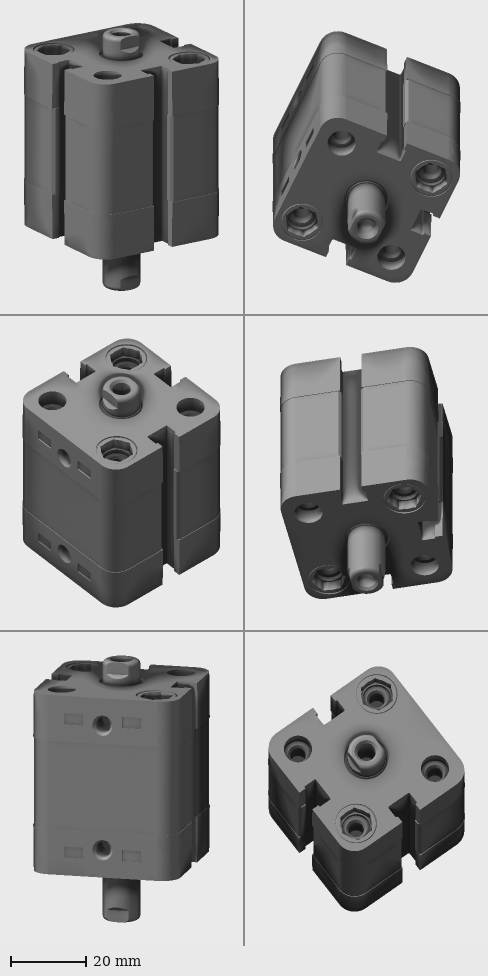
import cadquery as cq
import math


barrel_side = 40.0
cap_joint_side = 40.3
corner_radius = 5.0
cap_height = 12.5
barrel_height = 24.0
housing_height = barrel_height + 2 * cap_height
cap_draft = math.degrees(math.atan((cap_joint_side - barrel_side) / 2 / cap_height))

slot_depth = 5.7
slot_corner_radius = 0.35
slot_inner_width = 7.0
slot_lip_depth = 2.0
cap_slot_opening = 5.8
barrel_slot_opening = 5.3
barrel_slot_mouth = 6.7

hole_pitch = 26.0
thread_core = 4.13
thread_countersink = 5.3
thread_depth = 7.0
bore_diameter = 7.5
bore_depth = 4.5
head_recess = 11.1
head_diameter = 10.9
head_face = 10.48
head_sink = 0.2
socket_across_flats = 8.0
socket_relief = 8.3
socket_depth = 3.2

port_height = 7.5
port_countersink = 5.5
port_depth = 8.0
label_width = 5.25
label_height = 3.1
label_offset = 8.0
label_drop = 6.3
label_depth = 0.3

wiper_mouth = 12.0
wiper_groove_outer = 11.4
wiper_groove_inner = 10.9
wiper_lip = 10.48
wiper_bevel_depth = 0.3
wiper_groove_depth = 0.6

rod_diameter = 10.0
rod_top_reach = 6.0
rod_bottom_reach = 16.0
rod_length = rod_top_reach + housing_height + rod_bottom_reach
rod_edge_radius = 1.2
rod_across_flats = 8.0
rod_flat_length = 3.3
rod_thread_core = 4.92
rod_thread_countersink = 6.3
rod_thread_depth = 12.0


def cone_depth(outer_diameter, inner_diameter):
    """Depth of a 90 degree countersink between two diameters."""
    return (outer_diameter - inner_diameter) / 2


def revolve_profile(points):
    """Solid of revolution about Z from (radius, z) points."""
    return cq.Workplane("XZ").polyline(points).close().revolve(360, (0, 0), (0, 1))


def countersunk_hole(countersink, core, depth):
    """Tool for a blind hole that runs down from Z = 0 with a 90 degree countersink."""
    return revolve_profile([
        (0, 0),
        (countersink / 2, 0),
        (core / 2, -cone_depth(countersink, core)),
        (core / 2, -depth),
        (0, -depth),
    ])


def slot_tool(opening, mouth, height):
    """Undercut slot on the +X side from Z = 0; the mouth is wider than the opening if chamfered."""
    surface = barrel_side / 2
    outside = cap_joint_side
    cavity_length = slot_depth - slot_lip_depth
    cavity = (
        cq.Workplane("XY")
        .center(surface - slot_depth + cavity_length / 2, 0)
        .rect(cavity_length, slot_inner_width)
        .extrude(height)
        .edges("|Z")
        .fillet(slot_corner_radius)
    )
    neck_start = surface - slot_depth + slot_corner_radius
    lower_side = [(neck_start, -opening / 2)]
    if mouth > opening:
        chamfer_start = surface - (mouth - opening) / 2
        lower_side += [(chamfer_start, -opening / 2), (surface, -mouth / 2)]
    lower_side.append((outside, -mouth / 2))
    upper_side = [(x, -y) for x, y in reversed(lower_side)]
    neck = cq.Workplane("XY").polyline(lower_side + upper_side).close().extrude(height)
    return cavity.union(neck)


def cut_slots(body, opening, mouth, height):
    tool = slot_tool(opening, mouth, height)
    for angle in (-90, 0, 90):
        body = body.cut(tool.rotate((0, 0, 0), (0, 0, 1), angle))
    return body


def rounded_square(side, radius):
    return cq.Sketch().rect(side, side).vertices().fillet(radius)


def mounting_hole():
    """Tool for a plain mounting hole with its thread, from Z = 0 down."""
    thread = countersunk_hole(thread_countersink, thread_core, thread_depth)
    bore = cq.Workplane("XY").circle(bore_diameter / 2).extrude(-bore_depth)
    return bore.union(thread.translate((0, 0, -bore_depth)))


def screw_head():
    """Tool for the bevelled screw head face, its rim groove and its hexagon socket."""
    bevel_end = -head_sink - cone_depth(head_diameter, head_face)
    rim = revolve_profile([
        (0, 0),
        (head_recess / 2, 0),
        (head_recess / 2, bevel_end),
        (head_diameter / 2, bevel_end),
        (head_face / 2, -head_sink),
        (0, -head_sink),
    ])
    socket_corners = socket_across_flats / math.cos(math.radians(30))
    hexagon = cq.Workplane("XY").polygon(6, socket_corners).extrude(-socket_depth)
    relief = cq.Workplane("XY").circle(socket_relief / 2).extrude(-socket_depth)
    return rim.union(hexagon).union(relief)


def wiper_groove():
    """Tool for the bevelled mouth and seal groove round the rod, from Z = 0 down."""
    return revolve_profile([
        (0, 0),
        (wiper_mouth / 2, 0),
        (wiper_groove_outer / 2, -wiper_bevel_depth),
        (wiper_groove_outer / 2, -wiper_groove_depth),
        (wiper_groove_inner / 2, -wiper_groove_depth),
        (wiper_lip / 2, -wiper_bevel_depth),
        (0, -wiper_bevel_depth),
    ])


def air_port():
    """Tool for an air port in the -X side of the upper cap."""
    tool = countersunk_hole(port_countersink, thread_core, port_depth)
    mouth = cq.Workplane("XY").circle(port_countersink / 2).extrude(cap_joint_side - barrel_side)
    tool = tool.union(mouth)
    return tool.rotate((0, 0, 0), (0, 1, 0), -90).translate((-barrel_side / 2, 0, -port_height))


def label_fields():
    """Tool for the two shallow label pockets beside the air port."""
    centre_x = -barrel_side / 2
    return (
        cq.Workplane("XY")
        .pushPoints([(centre_x, label_offset), (centre_x, -label_offset)])
        .box(2 * label_depth, label_width, label_height)
        .translate((0, 0, -label_drop))
    )


def make_upper_cap():
    """Upper cap with its outer face at Z = 0."""
    cap_corner = corner_radius + (cap_joint_side - barrel_side) / 2
    cap = (
        cq.Workplane("XY")
        .placeSketch(rounded_square(cap_joint_side, cap_corner))
        .extrude(cap_height, taper=cap_draft)
    )
    cap = cut_slots(cap, cap_slot_opening, cap_slot_opening, cap_height)
    cap = cap.translate((0, 0, -cap_height))
    hole = mounting_hole()
    head = screw_head()
    half_pitch = hole_pitch / 2
    for x in (-half_pitch, half_pitch):
        for y in (-half_pitch, half_pitch):
            cap = cap.cut(hole.translate((x, y, 0)))
        cap = cap.cut(head.translate((x, x, 0)))
    rod_hole = cq.Workplane("XY").circle(rod_diameter / 2).extrude(-cap_height)
    cap = cap.cut(rod_hole).cut(wiper_groove())
    return cap.cut(air_port()).cut(label_fields())


def make_barrel():
    barrel = (
        cq.Workplane("XY")
        .placeSketch(rounded_square(barrel_side, corner_radius))
        .extrude(barrel_height)
    )
    barrel = cut_slots(barrel, barrel_slot_opening, barrel_slot_mouth, barrel_height)
    barrel = barrel.cut(cq.Workplane("XY").circle(rod_diameter / 2).extrude(barrel_height))
    return barrel.translate((0, 0, cap_height))


def rod_flat():
    """Tool for one wrench flat on the +X side of a rod end at Z = 0, with a 45 degree run-out."""
    flat_x = rod_across_flats / 2
    beyond = rod_diameter
    return (
        cq.Workplane("XZ")
        .polyline([
            (flat_x, 0),
            (flat_x, -rod_flat_length),
            (beyond, -rod_flat_length - (beyond - flat_x)),
            (beyond, 0),
        ])
        .close()
        .extrude(rod_diameter / 2, both=True)
    )


def make_rod():
    rod = cq.Workplane("XY").circle(rod_diameter / 2).extrude(-rod_length)
    rod = rod.faces("<Z or >Z").edges().fillet(rod_edge_radius)
    flat = rod_flat()
    end = (
        flat
        .union(flat.mirror("YZ"))
        .union(countersunk_hole(rod_thread_countersink, rod_thread_core, rod_thread_depth))
    )
    far_end = end.mirror("XY").translate((0, 0, -rod_length))
    rod = rod.cut(end).cut(far_end)
    return rod.translate((0, 0, housing_height + rod_top_reach))


end_cap = make_upper_cap()
upper_cap = end_cap.translate((0, 0, housing_height))
lower_cap = end_cap.rotate((0, 0, 0), (1, 0, 0), 180)
barrel = make_barrel()
rod = make_rod()

result = cq.Compound.makeCompound([upper_cap.val(), lower_cap.val(), barrel.val(), rod.val()])